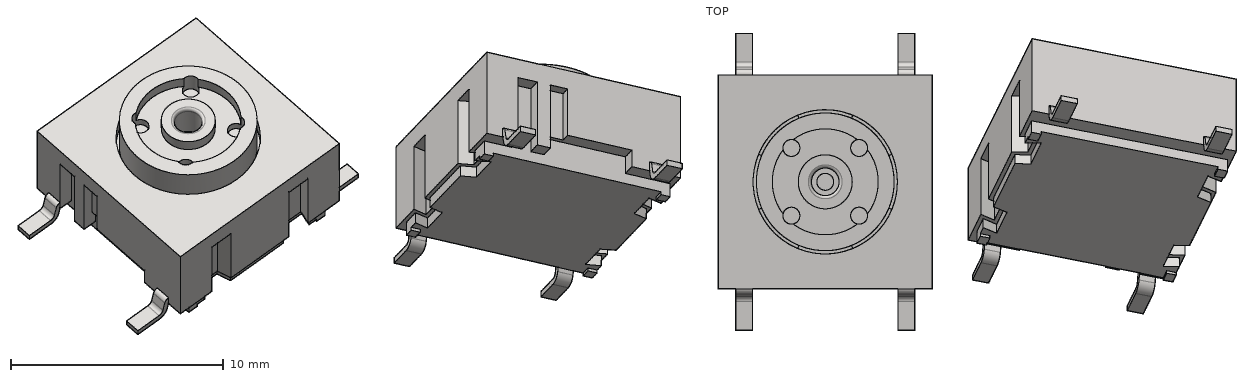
import cadquery as cq
import math

floor_z = 0.15
body_bottom_z = 0.7
lid_bottom_z = 4.1
lid_top_z = 5.1
button_top_z = 6.4

body_width = 10.1
body_half = body_width / 2
base_width_x = 9.69
base_width_y = 8.65
base_setback_x = (body_width - base_width_x) / 2
foot_length_x = 0.48
foot_length_y = 0.55

groove_start_y = 1.83
groove_end_y = 3.04
groove_lean = 0.21
groove_depth = 0.73

front_depth = (body_width - base_width_y) / 2
panel_depth = 0.5
relief_left_x = -3.42
rib_left_x = -2.42
rib_right_x = -1.74
panel_right_x = -0.84
notch_right_x = 2.5
notch_top_z = 1.6

button_diameter = 6.5
gap_diameter = 6.8
gap_depth = 1.0
flange_depth = 0.7
flange_angle = 45
recess_diameter = 5.0
recess_depth = 0.6
post_diameter = 2.55
bore_diameter = 1.3
bore_depth = 1.68
bore_mouth_diameter = 1.6
bore_rounding = (bore_mouth_diameter - bore_diameter) / 2
pilot_diameter = 0.8
pilot_depth = 0.4
pin_hole_diameter = 0.8
pin_hole_spacing = 3.19
pin_hole_depth = 1.0

lead_width = 0.8
lead_thickness = 0.3
lead_spacing = 7.65
lead_tip_y = 7.0
lead_top_z = 1.15
lead_lean = math.radians(14)
lead_embedding = 0.28
knee_radius = 0.25
heel_radius = 0.25
lead_knee_y = body_half + knee_radius * math.tan((math.pi / 2 - lead_lean) / 2)


def box(x0, x1, y0, y1, z0, z1):
    """Box between opposite corners."""
    block = cq.Workplane("XY").box(x1 - x0, y1 - y0, z1 - z0, centered=False)
    return block.translate((x0, y0, z0))


def cylinder(diameter, bottom_z, top_z):
    """Vertical cylinder on the part's centre line."""
    return cq.Workplane("XY").workplane(offset=bottom_z).circle(diameter / 2).extrude(top_z - bottom_z)


def side_grooves(bottom_z, top_z, growth=0):
    """Four leaning grooves, two in each X side, optionally widened all round."""
    floor_x = body_half - groove_depth
    mouth_x = body_half + groove_depth
    profile = cq.Workplane("XY").workplane(offset=bottom_z).polyline([
        (floor_x, groove_start_y + groove_lean),
        (floor_x, groove_end_y + groove_lean),
        (mouth_x, groove_end_y - groove_lean),
        (mouth_x, groove_start_y - groove_lean),
    ]).close()
    if growth:
        profile = profile.offset2D(growth, "intersection")
    groove = profile.extrude(top_z - bottom_z)
    pair = groove.union(groove.mirror("XZ"))
    return pair.union(pair.mirror("YZ"))


def make_base():
    """Base plate with four corner feet."""
    half_x = base_width_x / 2
    half_y = base_width_y / 2
    base = box(-half_x, half_x, -half_y, half_y, 0, body_bottom_z)
    inner_x = half_x - foot_length_x
    inner_y = half_y - foot_length_y
    base = base.cut(box(-inner_x, inner_x, -half_y, half_y, 0, floor_z))
    base = base.cut(box(-half_x, half_x, -inner_y, inner_y, 0, floor_z))
    return base.cut(side_grooves(0, body_bottom_z, base_setback_x))


def make_body():
    """Housing walls below the lid, with side grooves and front relief."""
    body = box(-body_half, body_half, -body_half, body_half, body_bottom_z, lid_bottom_z)
    body = body.cut(side_grooves(body_bottom_z, lid_bottom_z))
    front = -body_half
    deep = front + front_depth
    body = body.cut(box(relief_left_x, rib_left_x, front, deep, body_bottom_z, lid_bottom_z))
    body = body.cut(box(rib_right_x, notch_right_x, front, deep, body_bottom_z, notch_top_z))
    return body.cut(box(rib_right_x, panel_right_x, front, front + panel_depth, notch_top_z, lid_bottom_z))


def make_lid():
    """Square lid with the gap round the button and four flange segments in the gap."""
    lid = box(-body_half, body_half, -body_half, body_half, lid_bottom_z, lid_top_z)
    lid = lid.cut(cylinder(gap_diameter, lid_top_z - gap_depth, lid_top_z))
    flange_top_z = lid_top_z - flange_depth
    ring = cylinder(gap_diameter, lid_bottom_z, flange_top_z)
    ring = ring.cut(cylinder(button_diameter, lid_bottom_z, flange_top_z))
    spread = gap_diameter * math.tan(math.radians(flange_angle / 2))
    wedge = cq.Workplane("XY").workplane(offset=lid_bottom_z)
    wedge = wedge.polyline([(0, 0), (gap_diameter, -spread), (gap_diameter, spread)]).close()
    wedge = wedge.extrude(flange_top_z - lid_bottom_z)
    segment = ring.intersect(wedge)
    for diagonal in range(45, 360, 90):
        lid = lid.union(segment.rotate((0, 0, 0), (0, 0, 1), diagonal))
    return lid


def make_button():
    """Button with a ring recess, a bored centre post and four pin holes."""
    button = cylinder(button_diameter, lid_bottom_z, button_top_z)
    recess_z = button_top_z - recess_depth
    button = button.cut(cylinder(recess_diameter, recess_z, button_top_z))
    hole_centres = cq.Workplane("XY").workplane(offset=button_top_z)
    hole_centres = hole_centres.rect(pin_hole_spacing, pin_hole_spacing, forConstruction=True).vertices()
    pin_holes = hole_centres.circle(pin_hole_diameter / 2).extrude(-pin_hole_depth)
    button = button.cut(pin_holes)
    bore_z = button_top_z - bore_depth
    post = cylinder(post_diameter, recess_z, button_top_z)
    post = post.cut(cylinder(bore_diameter, recess_z, button_top_z))
    rim = cq.selectors.RadiusNthSelector(0)
    post = post.faces(">Z").edges(rim).fillet(bore_rounding)
    button = button.cut(cylinder(bore_diameter, bore_z, recess_z))
    button = button.cut(cylinder(pilot_diameter, bore_z - pilot_depth, bore_z))
    return button.union(post)


def make_lead():
    """One lead on the +Y side, centred on X = 0."""
    slope = math.tan(lead_lean)
    root_y = body_half - lead_embedding
    under_z = lead_top_z - lead_thickness
    thickness_y = lead_thickness / math.cos(lead_lean)

    def outer_y(z):
        """Y of the leaning outer face at height z."""
        return lead_knee_y + (lead_top_z - z) * slope

    knee = (lead_knee_y, lead_top_z)
    heel_top = (outer_y(lead_thickness), lead_thickness)
    heel_bottom = (outer_y(0) - thickness_y, 0)
    lead = cq.Workplane("YZ").polyline([
        (root_y, lead_top_z),
        knee,
        heel_top,
        (lead_tip_y, lead_thickness),
        (lead_tip_y, 0),
        heel_bottom,
        (outer_y(under_z) - thickness_y, under_z),
        (root_y, under_z),
    ]).close().extrude(lead_width / 2, both=True)
    bends = (
        (knee, knee_radius),
        (heel_top, heel_radius),
        (heel_bottom, heel_radius + lead_thickness),
    )
    for (y, z), radius in bends:
        corner = cq.selectors.NearestToPointSelector((0, y, z))
        lead = lead.edges("|X").edges(corner).fillet(radius)
    return lead


result = make_base().union(make_body()).union(make_lid()).union(make_button())
back_lead = make_lead()
front_lead = back_lead.mirror("XZ")
for side in (-1, 1):
    offset = (side * lead_spacing / 2, 0, 0)
    result = result.union(back_lead.translate(offset)).union(front_lead.translate(offset))